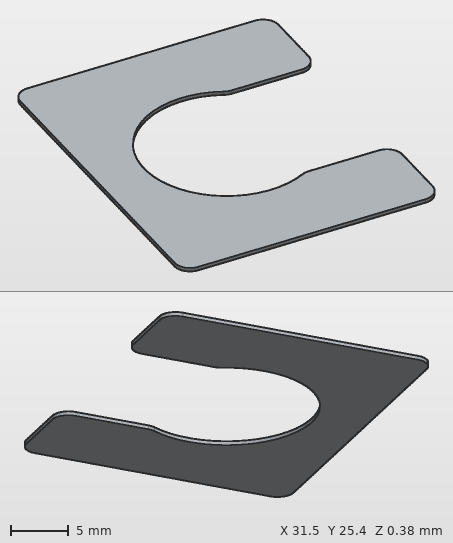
import cadquery as cq
import math

length = 31.5
width = 25.4
thickness = 0.38
corner_radius = 1.5

seat_diameter = 16.25
slot_width = 14.25

neck_y = math.sqrt((seat_diameter / 2) ** 2 - (slot_width / 2) ** 2)


def round_upright_edges(body, x, y, radius):
    """Round the two upright edges at (-x, y) and (x, y)."""
    for side in (-1, 1):
        edge = cq.selectors.NearestToPointSelector((side * x, y, 0))
        body = body.edges("|Z").edges(edge).fillet(radius)
    return body


plate = cq.Workplane("XY").box(length, width, thickness)
seat = cq.Workplane("XY").circle(seat_diameter / 2).extrude(thickness, both=True)
slot = (
    cq.Workplane("XY")
    .center(0, width / 2)
    .rect(slot_width, width)
    .extrude(thickness, both=True)
)
part = plate.cut(seat).cut(slot)

for corner_y in (-width / 2, width / 2):
    part = round_upright_edges(part, length / 2, corner_y, corner_radius)

for slot_edge_y in (width / 2, neck_y):
    part = round_upright_edges(part, slot_width / 2, slot_edge_y, corner_radius)

result = part